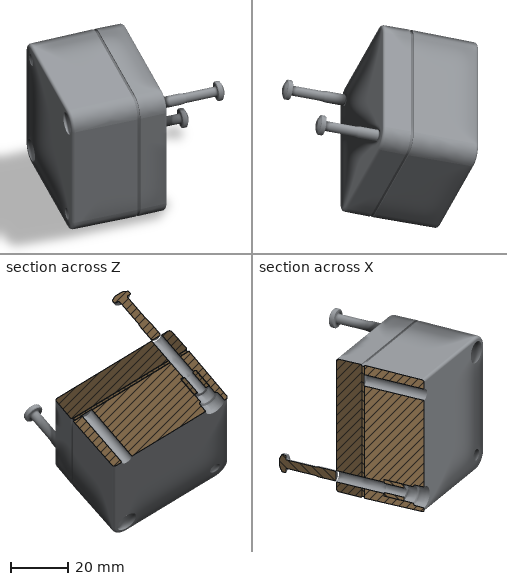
import cadquery as cq

WIDTH = 50.0
HEIGHT = 52.0
DEPTH = 35.0
CORNER_RADIUS = 6.0
EDGE_RADIUS = 1.0
DRAFT_ANGLE = 0.65
OVERLAP = 1.0

GASKET_THICKNESS = 1.0
GASKET_INSET = 0.5
LID_DEPTH = 10.0
BASE_DEPTH = DEPTH - LID_DEPTH - GASKET_THICKNESS
LID_FRONT = BASE_DEPTH + GASKET_THICKNESS

HOLE_X = 19.0
HOLE_Z = 20.0
SCREW_POINTS = [(-HOLE_X, -HOLE_Z), (HOLE_X, HOLE_Z)]
MOUNTING_POINTS = [(-HOLE_X, HOLE_Z), (HOLE_X, -HOLE_Z)]
MOUNTING_RADIUS = 2.1
SCREW_CLEARANCE_RADIUS = 2.1

POCKET_MOUTH_RADIUS = 4.0
POCKET_NECK_RADIUS = 3.9
POCKET_NECK_DEPTH = 4.0
POCKET_CONE_DEPTH = 0.4
INSERT_RADIUS = 3.1
INSERT_FRONT = 8.0
INSERT_LENGTH = 8.0
INSERT_END = INSERT_FRONT + INSERT_LENGTH
INSERT_BORE_RADIUS = 1.7

SCREW_LENGTH = 20.0
HEAD_RADIUS = 3.5
HEAD_HEIGHT = 2.63
HEAD_RIM_HEIGHT = 1.85
HEAD_RIM_FILLET = 0.45
HEAD_FLAT_RADIUS = 1.5
HEAD_EDGE_CHAMFER = 0.2
SHANK_RADIUS = 1.75
NECK_FILLET = 0.4
THREAD_RADIUS = 2.0
THREAD_LENGTH = 7.0
THREAD_RUNOUT = 1.5
TIP_CHAMFER = 0.5


def slab(start, depth, inset=0.0, taper=0.0, toward=1):
    """Rounded rectangle extruded along Y from start, toward +Y (1) or -Y (-1)."""
    plane = cq.Plane(origin=(0, start, 0), xDir=(1, 0, 0), normal=(0, toward, 0))
    radius = CORNER_RADIUS - inset
    outline = cq.Sketch().rect(WIDTH - 2 * inset, HEIGHT - 2 * inset).vertices().fillet(radius)
    return cq.Workplane(plane).placeSketch(outline).extrude(depth, taper=taper)


def rod(point, radius, start, end):
    """Cylinder along Y at an (X, Z) point."""
    x, z = point
    cylinder = cq.Solid.makeCylinder(radius, end - start, cq.Vector(x, start, z), cq.Vector(0, 1, 0))
    return cq.Workplane(cylinder)


def turned(profile, point, start=0.0):
    """Revolve a (radius, Y) profile about Y and move it to an (X, Z) point."""
    x, z = point
    return profile.close().revolve(360, (0, 0, 0), (0, 1, 0)).translate((x, start, z))


def insert_pocket(point):
    """Cutter for the mouth, cone and bore in front of and around an insert."""
    profile = (
        cq.Workplane("XY")
        .moveTo(0, 0)
        .lineTo(POCKET_MOUTH_RADIUS, 0)
        .lineTo(POCKET_NECK_RADIUS, POCKET_NECK_DEPTH)
        .lineTo(INSERT_RADIUS, POCKET_NECK_DEPTH + POCKET_CONE_DEPTH)
        .lineTo(INSERT_RADIUS, INSERT_END)
        .lineTo(0, INSERT_END)
    )
    return turned(profile, point)


def make_base():
    base = slab(BASE_DEPTH, BASE_DEPTH, taper=DRAFT_ANGLE, toward=-1)
    base = base.faces("<Y").edges().fillet(EDGE_RADIUS)
    for point in MOUNTING_POINTS:
        base = base.cut(rod(point, MOUNTING_RADIUS, -OVERLAP, BASE_DEPTH + OVERLAP))
    for point in SCREW_POINTS:
        base = base.cut(insert_pocket(point))
        base = base.cut(rod(point, SCREW_CLEARANCE_RADIUS, INSERT_FRONT, BASE_DEPTH + OVERLAP))
    return base


def make_gasket():
    gasket = slab(BASE_DEPTH, GASKET_THICKNESS, inset=GASKET_INSET)
    for point in SCREW_POINTS:
        gasket = gasket.cut(rod(point, SCREW_CLEARANCE_RADIUS, BASE_DEPTH - OVERLAP, LID_FRONT + OVERLAP))
    return gasket


def make_lid():
    lid = slab(LID_FRONT, LID_DEPTH, taper=DRAFT_ANGLE)
    lid = lid.faces(">Y").edges().fillet(EDGE_RADIUS)
    for point in SCREW_POINTS:
        lid = lid.cut(rod(point, SCREW_CLEARANCE_RADIUS, LID_FRONT - OVERLAP, DEPTH + OVERLAP))
    return lid


def make_insert(point):
    bore = rod(point, INSERT_BORE_RADIUS, INSERT_FRONT - OVERLAP, INSERT_END + OVERLAP)
    return rod(point, INSERT_RADIUS, INSERT_FRONT, INSERT_END).cut(bore)


def make_screw(point):
    rim_top = SCREW_LENGTH + HEAD_RIM_HEIGHT
    head_top = SCREW_LENGTH + HEAD_HEIGHT
    dome_foot = HEAD_RADIUS - HEAD_RIM_FILLET
    dome_rise = HEAD_HEIGHT - HEAD_RIM_HEIGHT
    centre_drop = (dome_foot**2 - HEAD_FLAT_RADIUS**2 - dome_rise**2) / (2 * dome_rise)
    dome_radius = (dome_foot**2 + centre_drop**2) ** 0.5
    profile = (
        cq.Workplane("XY")
        .moveTo(0, 0)
        .lineTo(THREAD_RADIUS - TIP_CHAMFER, 0)
        .lineTo(THREAD_RADIUS, TIP_CHAMFER)
        .lineTo(THREAD_RADIUS, THREAD_LENGTH)
        .lineTo(SHANK_RADIUS, THREAD_LENGTH + THREAD_RUNOUT)
        .lineTo(SHANK_RADIUS, SCREW_LENGTH - NECK_FILLET)
        .radiusArc((SHANK_RADIUS + NECK_FILLET, SCREW_LENGTH), NECK_FILLET)
        .lineTo(HEAD_RADIUS - HEAD_EDGE_CHAMFER, SCREW_LENGTH)
        .lineTo(HEAD_RADIUS, SCREW_LENGTH + HEAD_EDGE_CHAMFER)
        .lineTo(HEAD_RADIUS, rim_top - HEAD_RIM_FILLET)
        .radiusArc((dome_foot, rim_top), -HEAD_RIM_FILLET)
        .radiusArc((HEAD_FLAT_RADIUS, head_top), -dome_radius)
        .lineTo(0, head_top)
    )
    return turned(profile, point, DEPTH)


base = make_base()
gasket = make_gasket()
lid = make_lid()
inserts = [make_insert(point) for point in SCREW_POINTS]
screws = [make_screw(point) for point in SCREW_POINTS]

result = cq.Compound.makeCompound(
    [
        base.val(),
        gasket.val(),
        lid.val(),
        *[insert.val() for insert in inserts],
        *[screw.val() for screw in screws],
    ]
)